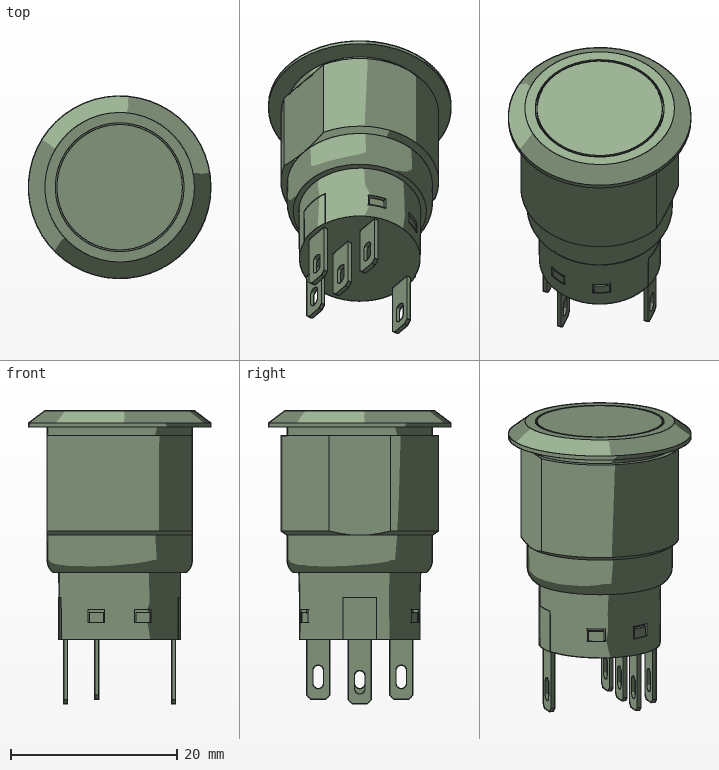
import cadquery as cq
import math


FLANGE_DIAMETER = 22.0
FLANGE_TOP_DIAMETER = 18.0
FLANGE_HEIGHT = 2.0
FLANGE_RIM_HEIGHT = 0.5
GROOVE_OUTER_DIAMETER = 15.5
GROOVE_WIDTH = 0.2
GROOVE_DEPTH = 0.3

SLEEVE_DIAMETER = 17.5
BARREL_DIAMETER = 19.0
BARREL_TOP_Z = -1.0
BARREL_BOTTOM_Z = -13.0
BARREL_CHAMFER_HEIGHT = 0.5
SLEEVE_BOTTOM_Z = -17.5
SLEEVE_ROUND_HEIGHT = 1.5
SLEEVE_ROUND_RADIUS = 1.9

BASE_TOP_DIAMETER = 14.7
BASE_BOTTOM_DIAMETER = 14.55
BASE_BOTTOM_Z = -25.55

PAD_WIDTH = 4.0
PAD_TOP_Z = -20.5

WINDOW_OFFSET = 2.8
WINDOW_WIDTH = 2.0
WINDOW_TOP_Z = -21.95
WINDOW_BOTTOM_Z = -23.5
BASE_CORE_DIAMETER = 13.3
TAB_FACE_DIAMETER = 14.4
TAB_SIDE_GAP = 0.15
TAB_TOP_GAP = 0.35

BLADE_THICKNESS = 0.5
BLADE_WIDTH = 2.8
BLADE_CORNER = 0.5
SLOT_WIDTH = 1.25
SLOT_LENGTH = 2.8
LONG_TIP_Z = -33.3
LONG_SLOT_MARGIN = 1.2
LONG_BLADE_X = 6.5
SHORT_TIP_Z = -32.75
SHORT_SLOT_MARGIN = 1.3
SHORT_BLADE_X = -2.75
SHORT_BLADE_PITCH = 5.0


def cylinder(diameter, bottom_z, top_z):
    """Cylinder on the Z axis between two heights."""
    return cq.Workplane("XY").workplane(offset=bottom_z).circle(diameter / 2).extrude(top_z - bottom_z)


def revolved(points):
    """Solid of revolution about Z from a closed (radius, z) outline."""
    return cq.Workplane("XZ").polyline(points).close().revolve(360, (0, 0, 0), (0, 1, 0))


def make_flange():
    rim = FLANGE_DIAMETER / 2
    flange = revolved([
        (0, 0),
        (rim, 0),
        (rim, FLANGE_RIM_HEIGHT),
        (FLANGE_TOP_DIAMETER / 2, FLANGE_HEIGHT),
        (0, FLANGE_HEIGHT),
    ])
    groove_outer = GROOVE_OUTER_DIAMETER / 2
    groove = (
        cq.Workplane("XY")
        .workplane(offset=FLANGE_HEIGHT - GROOVE_DEPTH)
        .circle(groove_outer)
        .circle(groove_outer - GROOVE_WIDTH)
        .extrude(GROOVE_DEPTH)
    )
    return flange.cut(groove)


def make_sleeve():
    """Neck and lower sleeve; the rounded edge is an arc tangent to the side wall."""
    radius = SLEEVE_DIAMETER / 2
    round_top_z = SLEEVE_BOTTOM_Z + SLEEVE_ROUND_HEIGHT
    end_angle = math.asin(SLEEVE_ROUND_HEIGHT / SLEEVE_ROUND_RADIUS)

    def arc_point(angle):
        inset = SLEEVE_ROUND_RADIUS * (1 - math.cos(angle))
        drop = SLEEVE_ROUND_RADIUS * math.sin(angle)
        return (radius - inset, round_top_z - drop)

    return (
        cq.Workplane("XZ")
        .moveTo(0, 0)
        .lineTo(radius, 0)
        .lineTo(radius, round_top_z)
        .threePointArc(arc_point(end_angle / 2), arc_point(end_angle))
        .lineTo(0, SLEEVE_BOTTOM_Z)
        .close()
        .revolve(360, (0, 0, 0), (0, 1, 0))
    )


def make_barrel():
    """Wide section chamfered down to the sleeve, with flats level with the sleeve at -X and +X."""
    radius = BARREL_DIAMETER / 2
    barrel = revolved([
        (0, BARREL_TOP_Z),
        (radius, BARREL_TOP_Z),
        (radius, BARREL_BOTTOM_Z + BARREL_CHAMFER_HEIGHT),
        (SLEEVE_DIAMETER / 2, BARREL_BOTTOM_Z),
        (0, BARREL_BOTTOM_Z),
    ])
    height = BARREL_TOP_Z - BARREL_BOTTOM_Z
    between_flats = (
        cq.Workplane("XY")
        .workplane(offset=BARREL_BOTTOM_Z)
        .rect(SLEEVE_DIAMETER, BARREL_DIAMETER)
        .extrude(height)
    )
    return barrel.intersect(between_flats)


def vertical_bar(width, x, side_y, bottom_z, top_z):
    """Upright bar reaching from the axis plane out past the base on one Y side."""
    reach = BASE_TOP_DIAMETER
    return (
        cq.Workplane("XY")
        .workplane(offset=bottom_z)
        .center(x, side_y * reach / 2)
        .rect(width, reach)
        .extrude(top_z - bottom_z)
    )


def make_window_cutter(x, side_y):
    """Window through the base wall, less the latch tab that fills most of it."""
    opening = vertical_bar(WINDOW_WIDTH, x, side_y, WINDOW_BOTTOM_Z, WINDOW_TOP_Z)
    core = cylinder(BASE_CORE_DIAMETER, WINDOW_BOTTOM_Z, WINDOW_TOP_Z)
    tab_width = WINDOW_WIDTH - 2 * TAB_SIDE_GAP
    tab_bar = vertical_bar(tab_width, x, side_y, WINDOW_BOTTOM_Z, WINDOW_TOP_Z - TAB_TOP_GAP)
    tab = tab_bar.intersect(cylinder(TAB_FACE_DIAMETER, WINDOW_BOTTOM_Z, WINDOW_TOP_Z))
    return opening.cut(core).cut(tab)


def make_base():
    base = revolved([
        (0, SLEEVE_BOTTOM_Z),
        (BASE_TOP_DIAMETER / 2, SLEEVE_BOTTOM_Z),
        (BASE_BOTTOM_DIAMETER / 2, BASE_BOTTOM_Z),
        (0, BASE_BOTTOM_Z),
    ])
    pad_strip = (
        cq.Workplane("XY")
        .workplane(offset=BASE_BOTTOM_Z)
        .rect(BASE_TOP_DIAMETER, PAD_WIDTH)
        .extrude(PAD_TOP_Z - BASE_BOTTOM_Z)
    )
    pads = cylinder(BASE_TOP_DIAMETER, BASE_BOTTOM_Z, PAD_TOP_Z).intersect(pad_strip)
    base = base.union(pads)
    for x in (-WINDOW_OFFSET, WINDOW_OFFSET):
        for side_y in (-1, 1):
            base = base.cut(make_window_cutter(x, side_y))
    return base


def make_blade(x, y, tip_z, slot_margin):
    """Slotted terminal blade with chamfered tip corners, hanging from the base."""
    length = BASE_BOTTOM_Z - tip_z
    blade = (
        cq.Workplane("XY")
        .workplane(offset=tip_z)
        .rect(BLADE_THICKNESS, BLADE_WIDTH)
        .extrude(length)
        .faces("<Z")
        .edges("|X")
        .chamfer(BLADE_CORNER)
    )
    slot = (
        cq.Workplane("YZ")
        .center(0, tip_z + slot_margin + SLOT_LENGTH / 2)
        .slot2D(SLOT_LENGTH, SLOT_WIDTH, 90)
        .extrude(BLADE_THICKNESS, both=True)
    )
    return blade.cut(slot).translate((x, y, 0))


result = make_flange().union(make_sleeve()).union(make_barrel()).union(make_base())
for blade_x in (-LONG_BLADE_X, LONG_BLADE_X):
    result = result.union(make_blade(blade_x, 0, LONG_TIP_Z, LONG_SLOT_MARGIN))
for row in (-1, 0, 1):
    blade_y = row * SHORT_BLADE_PITCH
    result = result.union(make_blade(SHORT_BLADE_X, blade_y, SHORT_TIP_Z, SHORT_SLOT_MARGIN))